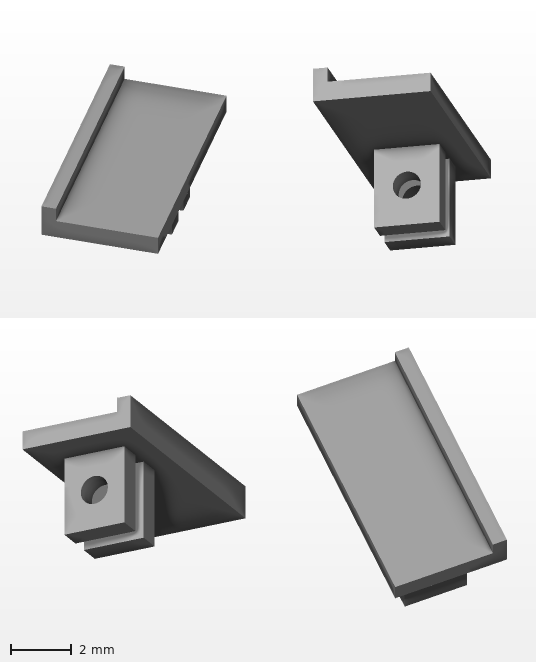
import cadquery as cq

plate_length = 8.35
plate_width = 4.0
plate_thickness = 0.65
lip_width = 0.5
lip_height = 0.5

lug_width = 2.22
lug_thickness = 0.8
lug_gap = 0.6
lug_height = 2.75
lug_end_offset = 1.3
hole_drop = 1.35
front_hole_diameter = 0.95
rear_hole_diameter = 1.0

rear_lug_y = plate_length / 2 - lug_end_offset - lug_thickness / 2
front_lug_y = rear_lug_y - lug_thickness - lug_gap


def make_plate():
    """L-shaped section running along Y, with its underside at Z = 0."""
    plate = cq.Workplane("XY").box(
        plate_width, plate_length, plate_thickness, centered=(True, True, False)
    )
    lip = (
        cq.Workplane("XY")
        .box(lip_width, plate_length, plate_thickness + lip_height, centered=(False, True, False))
        .translate((-plate_width / 2, 0, 0))
    )
    return plate.union(lip)


def make_lug(center_y, hole_diameter):
    """Lug hanging from the plate underside, with a cross hole along Y."""
    lug = cq.Workplane("XY").box(lug_width, lug_thickness, lug_height)
    lug = lug.translate((0, center_y, -lug_height / 2))
    hole = (
        cq.Workplane("XZ", origin=(0, center_y, -hole_drop))
        .circle(hole_diameter / 2)
        .extrude(lug_thickness, both=True)
    )
    return lug.cut(hole)


result = (
    make_plate()
    .union(make_lug(front_lug_y, front_hole_diameter))
    .union(make_lug(rear_lug_y, rear_hole_diameter))
)